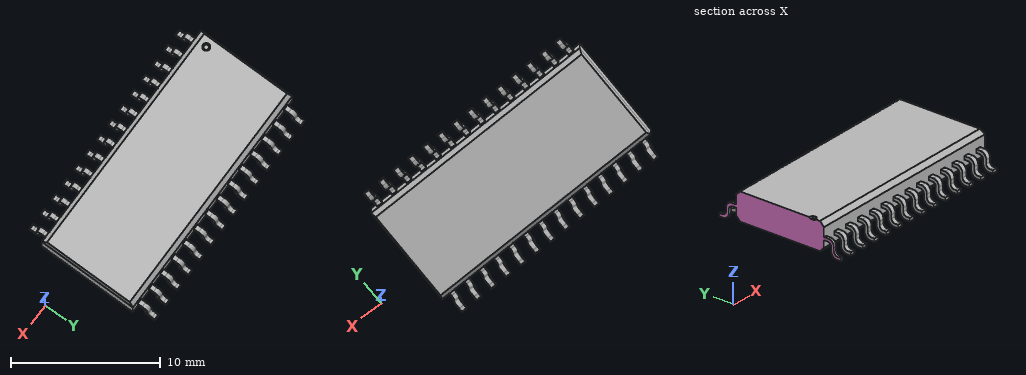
import cadquery as cq

body_length = 18.0
body_width = 7.6
top_z = 2.5
standoff = 0.18
lower_edge_z = 0.57
upper_edge_z = 2.145
end_inset = 0.12
side_inset = 0.35

leads_per_side = 14
lead_pitch = 1.27
lead_width = 0.43
lead_span = 10.45
lead_thickness = 0.27
lead_top_z = 1.39
foot_length = 0.25
bend_outer_radius = 0.5
bend_inner_radius = 0.32
lead_embed = 0.2

mark_x = -8.23
mark_y = -2.8
mark_top_radius = 0.27
mark_floor_radius = 0.18
mark_depth = 0.1


def frustum(inset_z, edge_z):
    """Loft between the reduced end face at inset_z and the full outline at edge_z."""
    return (
        cq.Workplane("XY", origin=(0, 0, inset_z))
        .rect(body_length - 2 * end_inset, body_width - 2 * side_inset)
        .workplane(offset=edge_z - inset_z)
        .rect(body_length, body_width)
        .loft(ruled=True)
    )


def make_body():
    """Straight-walled middle between tapered top and bottom caps."""
    middle = cq.Workplane("XY", origin=(0, 0, lower_edge_z)).rect(body_length, body_width)
    middle = middle.extrude(upper_edge_z - lower_edge_z)
    return middle.union(frustum(standoff, lower_edge_z)).union(frustum(top_z, upper_edge_z))


def make_pin_mark():
    """Tapered cutter for the pin 1 dimple."""
    return (
        cq.Workplane("XY", origin=(mark_x, mark_y, top_z - mark_depth))
        .circle(mark_floor_radius)
        .workplane(offset=mark_depth)
        .circle(mark_top_radius)
        .loft()
    )


def make_lead(x):
    """S-shaped lead on the +Y side, centred on x."""
    root_y = body_width / 2 - lead_embed
    tip_y = lead_span / 2
    shank_outer_y = tip_y - foot_length - bend_inner_radius
    shank_inner_y = shank_outer_y - lead_thickness
    shoulder_bottom_z = lead_top_z - lead_thickness
    return (
        cq.Workplane("YZ", origin=(x - lead_width / 2, 0, 0))
        .moveTo(root_y, lead_top_z)
        .lineTo(shank_outer_y - bend_outer_radius, lead_top_z)
        .radiusArc((shank_outer_y, lead_top_z - bend_outer_radius), bend_outer_radius)
        .lineTo(shank_outer_y, lead_thickness + bend_inner_radius)
        .radiusArc((tip_y - foot_length, lead_thickness), -bend_inner_radius)
        .lineTo(tip_y, lead_thickness)
        .lineTo(tip_y, 0)
        .lineTo(shank_inner_y + bend_outer_radius, 0)
        .radiusArc((shank_inner_y, bend_outer_radius), bend_outer_radius)
        .lineTo(shank_inner_y, shoulder_bottom_z - bend_inner_radius)
        .radiusArc((shank_inner_y - bend_inner_radius, shoulder_bottom_z), -bend_inner_radius)
        .lineTo(root_y, shoulder_bottom_z)
        .close()
        .extrude(lead_width)
    )


result = make_body().cut(make_pin_mark())
for index in range(leads_per_side):
    lead_x = (index - (leads_per_side - 1) / 2) * lead_pitch
    lead = make_lead(lead_x)
    result = result.union(lead).union(lead.mirror("XZ"))